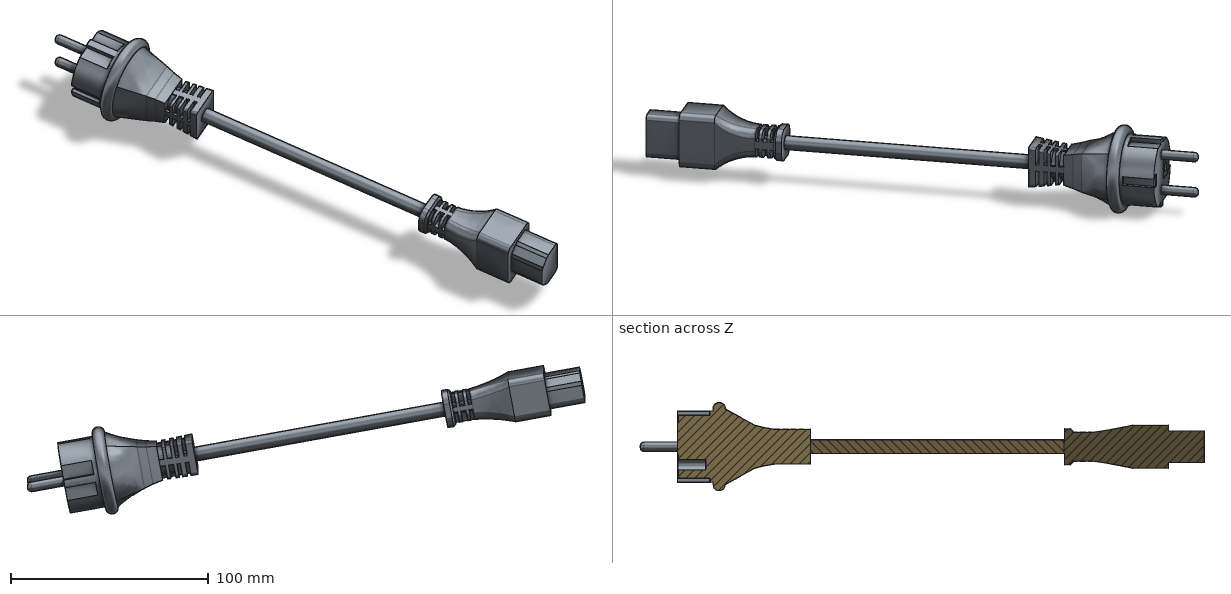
import cadquery as cq
import math


pin_diameter = 4.8
pin_offset = 9.5
pin_tip_radius = 2.0
face_x = 18.8
body_diameter = 36.2
rim_start_x = 36.8
rim_end_x = 43.0
rim_diameter = 44.8
pin_root_depth = 2.9

flat_height = 15.7
flat_end_x = 34.5
flat_rib_width = 4.0

contact_slot_width = 4.5
contact_slot_floor_y = 16.0
contact_slot_end_x = 35.0
contact_width = 6.3
contact_inner_y = 12.5
contact_recess = 0.3
earth_plate_inner_y = 3.7
earth_plate_outer_y = 13.5
earth_plate_width = 9.5
earth_hole_diameter = 5.0
earth_hole_y = -9.0
earth_hole_depth = 14.3

bell_start_diameter = 38.2
bell_seam_angle = 41
bell_end_x = 58.2
bell_end_half_y = 10.8
bell_end_half_z = 10.3
throat_start_x = 62.8
throat_start_half_y = 9.7
throat_start_half_z = 9.0
throat_end_x = 68.0
relief_half_y = 8.8
throat_half_z = 8.0
relief_end_x = 86.2
relief_end_half_z = 10.8
relief_corner_radius = 1.0
relief_rib_width = 3.5
shallow_core_diameter = 15.5
shallow_grooves = [(68.0, 70.5), (72.2, 74.7)]
deep_grooves = [(76.5, 78.2), (80.7, 82.5)]

cable_diameter = 7.0
core_diameter = cable_diameter

collar_start_x = 214.5
collar_end_x = 218.8
collar_size_y = 18.3
collar_size_z = 16.5
collar_radius = 5.5
collar_chamfer = 1.0
neck_size = 14.8
neck_radius = 4.0
neck_end_x = 229.0
neck_grooves = [(219.0, 220.8), (222.5, 225.0), (226.8, 228.5)]
neck_side_rib_width = 4.3
neck_top_rib_width = 2.5
flare_mid_x = 238.5
flare_mid_size_y = 17.7
flare_mid_size_z = 17.7
head_start_x = 249.0
head_end_x = 267.3
head_size_y = 22.0
head_size_z = 28.8
head_radius = 3.0
nose_end_x = 285.3
nose_half_y = 8.0
nose_half_z = 11.5
nose_front_half_z = 6.5
nose_slope_y = -2.5
nose_chamfer = 1.0
nose_back_radius = 2.5


def section(x):
    """Workplane across the X axis at x, with local x along +Y and local y along +Z."""
    return cq.Workplane("YZ", origin=(x, 0, 0))


def rod(start_x, end_x, diameter):
    return section(start_x).circle(diameter / 2).extrude(end_x - start_x)


def bar(start_x, end_x, size_y, size_z):
    return section(start_x).rect(size_y, size_z).extrude(end_x - start_x)


def rounded_bar(start_x, end_x, size_y, size_z, radius):
    return bar(start_x, end_x, size_y, size_z).edges("|X").fillet(radius)


def groove_cutter(start_x, end_x, side_rib_width, top_rib_width, floor_diameter):
    """Ring down to a round core, interrupted by a rib on each of the four sides."""
    width = body_diameter
    ring = bar(start_x, end_x, width, width).cut(rod(start_x, end_x, floor_diameter))
    side_ribs = bar(start_x, end_x, width, side_rib_width)
    top_ribs = bar(start_x, end_x, top_rib_width, width)
    return ring.cut(side_ribs).cut(top_ribs)


def make_pin():
    pin = rod(0, face_x + pin_root_depth, pin_diameter)
    return pin.faces("<X").edges().fillet(pin_tip_radius)


def make_front_body():
    body = rod(face_x, rim_start_x, body_diameter)
    flat_length = flat_end_x - face_x
    flat_depth = body_diameter / 2
    flat_center_x = (face_x + flat_end_x) / 2
    slot_center_x = (face_x + contact_slot_end_x) / 2
    slot_depth = body_diameter / 2
    for side in (1, -1):
        flat = cq.Workplane("XY").box(flat_length, body_diameter, flat_depth)
        flat = flat.cut(cq.Workplane("XY").box(flat_length, flat_rib_width, flat_depth))
        body = body.cut(flat.translate((flat_center_x, 0, side * (flat_height + flat_depth / 2))))
        slot = cq.Workplane("XY").box(contact_slot_end_x - face_x, slot_depth, contact_slot_width)
        slot_y = side * (contact_slot_floor_y + slot_depth / 2)
        body = body.cut(slot.translate((slot_center_x, slot_y, 0)))
    return body


def make_earth_recess():
    """Shallow recess in the face: a small pad at each side, with a larger plate on the -Y side."""
    pad_length = contact_slot_floor_y - contact_inner_y
    pad_y = (contact_slot_floor_y + contact_inner_y) / 2
    plate_length = earth_plate_outer_y - earth_plate_inner_y
    plate_y = -(earth_plate_outer_y + earth_plate_inner_y) / 2
    pads = section(face_x).pushPoints([(pad_y, 0), (-pad_y, 0)]).rect(pad_length, contact_width)
    plate = section(face_x).center(plate_y, 0).rect(plate_length, earth_plate_width)
    return pads.extrude(contact_recess).union(plate.extrude(contact_recess))


def make_rim():
    """Disc whose outer edge is a full half round."""
    bead_radius = (rim_end_x - rim_start_x) / 2
    straight = rim_diameter / 2 - bead_radius
    return (
        cq.Workplane("XY")
        .moveTo(rim_start_x, 0)
        .lineTo(rim_start_x, straight)
        .threePointArc((rim_start_x + bead_radius, rim_diameter / 2), (rim_end_x, straight))
        .lineTo(rim_end_x, 0)
        .close()
        .revolve(360, (0, 0, 0), (1, 0, 0))
    )


def make_bell():
    """Ruled blend from a circle, split into four arcs, to a rectangle."""
    radius = bell_start_diameter / 2
    seam_y = radius * math.cos(math.radians(bell_seam_angle))
    seam_z = radius * math.sin(math.radians(bell_seam_angle))
    circle = (
        section(rim_end_x)
        .moveTo(-seam_y, -seam_z)
        .threePointArc((0, -radius), (seam_y, -seam_z))
        .threePointArc((radius, 0), (seam_y, seam_z))
        .threePointArc((0, radius), (-seam_y, seam_z))
        .threePointArc((-radius, 0), (-seam_y, -seam_z))
        .close()
    )
    rectangle = (
        section(bell_end_x)
        .moveTo(-bell_end_half_y, -bell_end_half_z)
        .lineTo(bell_end_half_y, -bell_end_half_z)
        .lineTo(bell_end_half_y, bell_end_half_z)
        .lineTo(-bell_end_half_y, bell_end_half_z)
        .close()
    )
    return cq.Workplane(cq.Solid.makeLoft([circle.val(), rectangle.val()], True))


def relief_slab(plane, points):
    """Slab, symmetric about the X axis, whose upper outline passes through the points."""
    outline = points + [(x, -height) for x, height in reversed(points)]
    return cq.Workplane(plane).polyline(outline).close().extrude(body_diameter / 2, both=True)


def make_strain_relief():
    """Where a slab shaped in plan meets a slab shaped in elevation, with grooves between ribs."""
    plan = relief_slab("XY", [
        (bell_end_x, bell_end_half_y),
        (throat_start_x, throat_start_half_y),
        (throat_end_x, relief_half_y),
        (relief_end_x, relief_half_y),
    ])
    elevation = relief_slab("XZ", [
        (bell_end_x, bell_end_half_z),
        (throat_start_x, throat_start_half_z),
        (throat_end_x, throat_half_z),
        (relief_end_x, relief_end_half_z),
    ])
    relief = plan.intersect(elevation)
    straight_part = cq.selectors.BoxSelector(
        (throat_end_x, -body_diameter, -body_diameter),
        (relief_end_x, body_diameter, body_diameter),
    )
    relief = relief.edges(straight_part).edges("not(|Y or |Z)").fillet(relief_corner_radius)
    groove_sets = [(shallow_grooves, shallow_core_diameter), (deep_grooves, core_diameter)]
    for grooves, floor_diameter in groove_sets:
        for start_x, end_x in grooves:
            cutter = groove_cutter(start_x, end_x, relief_rib_width, relief_rib_width, floor_diameter)
            relief = relief.cut(cutter)
    return relief


def make_plug():
    body = make_front_body().union(make_rim()).union(make_bell()).union(make_strain_relief())
    body = body.cut(make_earth_recess())
    earth_hole = rod(face_x, face_x + earth_hole_depth, earth_hole_diameter)
    body = body.cut(earth_hole.translate((0, earth_hole_y, 0)))
    for side in (1, -1):
        body = body.union(make_pin().translate((0, 0, side * pin_offset)))
    return body


def make_cable():
    return rod(relief_end_x, collar_start_x, cable_diameter)


def make_flare():
    """Smooth blend from the neck to the head."""
    stations = [
        (neck_end_x, neck_size, neck_size, neck_radius),
        (flare_mid_x, flare_mid_size_y, flare_mid_size_z, neck_radius),
        (head_start_x, head_size_y, head_size_z, head_radius),
    ]
    wires = []
    for x, size_y, size_z, radius in stations:
        wires.append(rounded_bar(x, nose_end_x, size_y, size_z, radius).faces("<X").wires().val())
    return cq.Workplane(cq.Solid.makeLoft(wires))


def make_nose():
    """Bar with two sloping sides that narrow it towards -Y."""
    nose = (
        section(head_end_x)
        .moveTo(nose_half_y, -nose_half_z)
        .lineTo(nose_half_y, nose_half_z)
        .lineTo(nose_slope_y, nose_half_z)
        .lineTo(-nose_half_y, nose_front_half_z)
        .lineTo(-nose_half_y, -nose_front_half_z)
        .lineTo(nose_slope_y, -nose_half_z)
        .close()
        .extrude(nose_end_x - head_end_x)
    )
    nose = nose.edges("|X").edges(">Y").fillet(nose_back_radius)
    slope_edges = nose.edges(cq.selectors.BoxSelector(
        (head_end_x, -nose_half_y - nose_chamfer, -head_size_z),
        (nose_end_x, 0, head_size_z),
    )).edges("|X")
    return slope_edges.chamfer(nose_chamfer)


def make_connector():
    neck = rounded_bar(collar_end_x, neck_end_x, neck_size, neck_size, neck_radius)
    for start_x, end_x in neck_grooves:
        cutter = groove_cutter(start_x, end_x, neck_side_rib_width, neck_top_rib_width, core_diameter)
        neck = neck.cut(cutter)
    collar = rounded_bar(collar_start_x, collar_end_x, collar_size_y, collar_size_z, collar_radius)
    collar = collar.faces(">X").chamfer(collar_chamfer)
    head = rounded_bar(head_start_x, head_end_x, head_size_y, head_size_z, head_radius)
    return collar.union(neck).union(make_flare()).union(head).union(make_nose())


plug = make_plug()
cable = make_cable()
connector = make_connector()

result = cq.Compound.makeCompound([plug.val(), cable.val(), connector.val()])